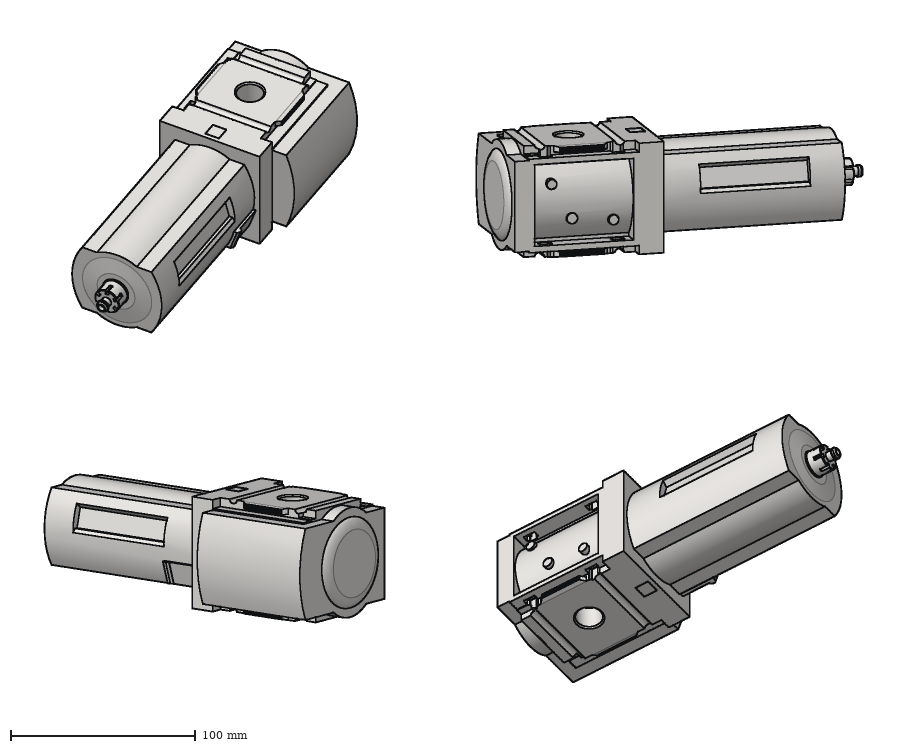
import cadquery as cq
import math


HOUSING_HALF = 31.0
HOUSING_FRONT_Y = -45.0
FRAME_HALF_LENGTH = 31.0
CORE_HALF_WIDTH = 24.0
RAIL_HALF_HEIGHT = 26.1
BACK_Y = 39.1
COVER_HALF_HEIGHT = 25.3
COVER_EDGE_X = 39.8
COVER_OUTER_X = 44.8
BULGE_HALF_WIDTH = 14.6
BULGE_TOP_Z = 30.4

CAP_RADIUS = 25.2
CAP_FLAT_RADIUS = 18.8
CAP_BACK_Y = 42.0
CAP_ARC_MID = (22.6, 41.0)

GROOVE_NEAR_Y = 19.8
GROOVE_FAR_Y = 24.8
GROOVE_DEPTH = 2.1
CORNER_POCKET_INNER_X = 20.0
CORNER_POCKET_START_Y = 22.4
CORNER_POCKET_FLOOR_Z = 26.6
PORT_DIAMETER = 15.0
PORT_RIM_DIAMETER = 16.8
PORT_DEPTH = 15.0
LABEL_SIZE = 8.4
LABEL_CENTER_Y = -38.0
LABEL_DEPTH = 0.2

BAR_OUTER_X = 26.8
BAR_ROOT_HALF_LENGTH = 15.2
BAR_TIP_HALF_LENGTH = 12.3
BAR_UNDERSIDE_Z = 27.6
BAR_OUTER_TOP_Z = 30.5
BAR_GROOVE_COUNT = 2
BAR_GROOVE_WIDTH = 0.6
BAR_GROOVE_DEPTH = 0.3

WINDOW_HALF_LENGTH = 28.0
WINDOW_HALF_HEIGHT = 22.7
WINDOW_FLOOR_X = -21.5
DRUM_RADIUS = 29.8
PIN_END_X = -29.9
PINS = [
    (17.9, 10.9, 5.5),
    (6.4, -8.7, 6.0),
    (-17.1, -11.0, 5.5),
]

SLOT_CENTERS_Y = (20.6, -20.5)
SLOT_OUTER_X = -27.3
SLOT_STEP_X = -23.7
SLOT_INNER_X = -22.6
SLOT_LENGTH = 7.2
SLOT_NARROW_LENGTH = 4.4

BOWL_END_Y = -148.4
BOWL_SIDE_X = 27.9
BOWL_FLAT_HALF = 21.5
BOWL_BULGE_RADIUS = 24.8
DISH_RADIUS = 21.5
DISH_FLAT_RADIUS = 11.7
DISH_END_Y = -149.6

SIGHT_START_Y = -66.8
SIGHT_LENGTH = 62.0
SIGHT_MOUTH_TOP_Z = 18.2
SIGHT_SHELF_Z = 2.0
SIGHT_SHELF_OUTER_X = 26.2
SIGHT_SHELF_INNER_X = 24.3
SIGHT_FLOOR_TOP = (21.4, 13.0)

LATCH_BOTTOM_Z = -20.5
LATCH_TOP_Z = -7.9
LATCH_INNER_X = 22.0
LATCH_BOTTOM_X = 24.6
LATCH_TOP_X = 28.8
LATCH_END_Y = -66.6
RIDGE_START_Y = -62.4
RIDGE_OVERHANG = 1.5
RIDGE_BEVEL = 1.2

DRAIN_DIAMETER = 14.95
DRAIN_NECK_DIAMETER = 15.8
DRAIN_NECK_END_Y = -150.3
DRAIN_END_Y = -159.5
DRAIN_BEVEL = 0.4
DRAIN_SLOT_COUNT = 6
DRAIN_SLOT_WIDTH = 1.8
DRAIN_SLOT_ROOT = 5.0
DRAIN_SLOT_START_Y = -154.4
STEM_DIAMETER = 5.5
STEM_COLLAR_DIAMETER = 6.6
STEM_COLLAR_Y = -163.2
STEM_COLLAR_END_Y = -164.7
STEM_TIP_DIAMETER = 5.0
STEM_END_Y = -165.8
STEM_HOLE_DIAMETER = 3.8
STEM_HOLE_DEPTH = 3.0


def box(x0, x1, y0, y1, z0, z1):
    """Axis-aligned box between two opposite corners."""
    size = (x1 - x0, y1 - y0, z1 - z0)
    return cq.Workplane("XY").box(*size, centered=False).translate((x0, y0, z0))


def section(y):
    """Workplane across the bowl axis at y, with local x = X, local y = Z and the normal toward -Y."""
    return cq.Workplane("XZ", origin=(0, y, 0))


def both_faces(shape):
    """A feature of the upper side together with its mirror image below."""
    return shape.union(shape.mirror("XY"))


def housing_blocks():
    front = box(-HOUSING_HALF, HOUSING_HALF, HOUSING_FRONT_Y, -FRAME_HALF_LENGTH, -HOUSING_HALF, HOUSING_HALF)
    core = box(
        -CORE_HALF_WIDTH, CORE_HALF_WIDTH,
        -FRAME_HALF_LENGTH, FRAME_HALF_LENGTH,
        -HOUSING_HALF, HOUSING_HALF,
    )
    rails = box(
        -HOUSING_HALF, HOUSING_HALF,
        -FRAME_HALF_LENGTH, FRAME_HALF_LENGTH,
        -RAIL_HALF_HEIGHT, RAIL_HALF_HEIGHT,
    )
    return front.union(core).union(rails)


def back_plate():
    """Plate behind the frame, bulging upward and downward in the middle."""
    return (
        section(BACK_Y)
        .moveTo(-HOUSING_HALF, -COVER_HALF_HEIGHT)
        .lineTo(-BULGE_HALF_WIDTH, -COVER_HALF_HEIGHT)
        .threePointArc((0, -BULGE_TOP_Z), (BULGE_HALF_WIDTH, -COVER_HALF_HEIGHT))
        .lineTo(HOUSING_HALF, -COVER_HALF_HEIGHT)
        .lineTo(HOUSING_HALF, COVER_HALF_HEIGHT)
        .lineTo(BULGE_HALF_WIDTH, COVER_HALF_HEIGHT)
        .threePointArc((0, BULGE_TOP_Z), (-BULGE_HALF_WIDTH, COVER_HALF_HEIGHT))
        .lineTo(-HOUSING_HALF, COVER_HALF_HEIGHT)
        .close()
        .extrude(BACK_Y - FRAME_HALF_LENGTH)
    )


def side_cover():
    """Cover on the +X side with an outward-curved face."""
    return (
        section(BACK_Y)
        .moveTo(HOUSING_HALF, -COVER_HALF_HEIGHT)
        .lineTo(COVER_EDGE_X, -COVER_HALF_HEIGHT)
        .threePointArc((COVER_OUTER_X, 0), (COVER_EDGE_X, COVER_HALF_HEIGHT))
        .lineTo(HOUSING_HALF, COVER_HALF_HEIGHT)
        .close()
        .extrude(BACK_Y + FRAME_HALF_LENGTH)
    )


def back_cap():
    return (
        cq.Workplane("XY")
        .moveTo(0, BACK_Y)
        .lineTo(CAP_RADIUS, BACK_Y)
        .threePointArc(CAP_ARC_MID, (CAP_FLAT_RADIUS, CAP_BACK_Y))
        .lineTo(0, CAP_BACK_Y)
        .close()
        .revolve(360, (0, 0), (0, 1))
    )


def bars():
    """Grooved trapezoidal bars along both sides of the upper core face, sloping down outward."""
    plan = (
        cq.Workplane("XY")
        .polyline([
            (CORE_HALF_WIDTH, -BAR_ROOT_HALF_LENGTH),
            (BAR_OUTER_X, -BAR_TIP_HALF_LENGTH),
            (BAR_OUTER_X, BAR_TIP_HALF_LENGTH),
            (CORE_HALF_WIDTH, BAR_ROOT_HALF_LENGTH),
        ])
        .close()
        .extrude(HOUSING_HALF)
    )
    bar = (
        section(BAR_ROOT_HALF_LENGTH)
        .polyline([
            (CORE_HALF_WIDTH, BAR_UNDERSIDE_Z),
            (BAR_OUTER_X, BAR_UNDERSIDE_Z),
            (BAR_OUTER_X, BAR_OUTER_TOP_Z),
            (CORE_HALF_WIDTH, HOUSING_HALF),
        ])
        .close()
        .extrude(2 * BAR_ROOT_HALF_LENGTH)
        .intersect(plan)
    )
    for i in range(BAR_GROOVE_COUNT):
        bottom = BAR_UNDERSIDE_Z + (2 * i + 1) * BAR_GROOVE_WIDTH
        groove = box(
            BAR_OUTER_X - BAR_GROOVE_DEPTH, BAR_OUTER_X,
            -BAR_ROOT_HALF_LENGTH, BAR_ROOT_HALF_LENGTH,
            bottom, bottom + BAR_GROOVE_WIDTH,
        )
        bar = bar.cut(groove)
    return bar.union(bar.mirror("YZ"))


def window():
    """Side window, leaving the drum surface standing inside it."""
    opening = box(
        -HOUSING_HALF, WINDOW_FLOOR_X,
        -WINDOW_HALF_LENGTH, WINDOW_HALF_LENGTH,
        -WINDOW_HALF_HEIGHT, WINDOW_HALF_HEIGHT,
    )
    drum = section(WINDOW_HALF_LENGTH).circle(DRUM_RADIUS).extrude(2 * WINDOW_HALF_LENGTH)
    return opening.cut(drum)


def pin(y, z, diameter):
    """Pin pointing toward -X out of the drum."""
    length = WINDOW_FLOOR_X - PIN_END_X
    return cq.Workplane("YZ", origin=(PIN_END_X, y, z)).circle(diameter / 2).extrude(length)


def grooves():
    """Shallow round-bottomed grooves across the core on both sides of the port."""
    groove = (
        cq.Workplane("YZ", origin=(-CORE_HALF_WIDTH, 0, 0))
        .moveTo(GROOVE_NEAR_Y, HOUSING_HALF)
        .threePointArc(
            ((GROOVE_NEAR_Y + GROOVE_FAR_Y) / 2, HOUSING_HALF - GROOVE_DEPTH),
            (GROOVE_FAR_Y, HOUSING_HALF),
        )
        .close()
        .extrude(2 * CORE_HALF_WIDTH)
    )
    return groove.union(groove.mirror("XZ"))


def corner_pockets():
    pocket = box(
        CORNER_POCKET_INNER_X, CORE_HALF_WIDTH,
        CORNER_POCKET_START_Y, FRAME_HALF_LENGTH,
        CORNER_POCKET_FLOOR_Z, HOUSING_HALF,
    )
    return pocket.union(pocket.mirror("YZ"))


def port():
    """Blind port with a countersunk rim."""
    rim = (PORT_RIM_DIAMETER - PORT_DIAMETER) / 2
    return (
        cq.Workplane("XZ")
        .polyline([
            (0, HOUSING_HALF),
            (PORT_RIM_DIAMETER / 2, HOUSING_HALF),
            (PORT_DIAMETER / 2, HOUSING_HALF - rim),
            (PORT_DIAMETER / 2, HOUSING_HALF - PORT_DEPTH),
            (0, HOUSING_HALF - PORT_DEPTH),
        ])
        .close()
        .revolve(360, (0, 0), (0, 1))
    )


def rail_slot(center_y):
    """Slot from the window up through the rail, with a narrower step into the core."""
    half = SLOT_LENGTH / 2
    narrow = SLOT_NARROW_LENGTH / 2
    wide_part = box(
        SLOT_OUTER_X, SLOT_STEP_X,
        center_y - half, center_y + half,
        WINDOW_HALF_HEIGHT, HOUSING_HALF,
    )
    step = box(
        SLOT_STEP_X, SLOT_INNER_X,
        center_y - narrow, center_y + narrow,
        WINDOW_HALF_HEIGHT, HOUSING_HALF,
    )
    return wide_part.union(step)


def label_recess():
    half = LABEL_SIZE / 2
    return box(
        -half, half,
        LABEL_CENTER_Y - half, LABEL_CENTER_Y + half,
        HOUSING_HALF - LABEL_DEPTH, HOUSING_HALF,
    )


def make_housing():
    body = housing_blocks().union(back_plate()).union(side_cover()).union(back_cap())
    body = body.union(both_faces(bars())).cut(window())
    for y, z, diameter in PINS:
        body = body.union(pin(y, z, diameter))
    for feature in (grooves(), corner_pockets(), port(), label_recess()):
        body = body.cut(both_faces(feature))
    for center_y in SLOT_CENTERS_Y:
        body = body.cut(both_faces(rail_slot(center_y)))
    return body


def bowl_shell():
    """Bowl with curved sides, and round bulges in its upper and lower flats."""
    bulge_half = math.sqrt(BOWL_BULGE_RADIUS**2 - BOWL_FLAT_HALF**2)
    flat = BOWL_FLAT_HALF
    return (
        section(HOUSING_FRONT_Y)
        .moveTo(-flat, -flat)
        .lineTo(-bulge_half, -flat)
        .threePointArc((0, -BOWL_BULGE_RADIUS), (bulge_half, -flat))
        .lineTo(flat, -flat)
        .threePointArc((BOWL_SIDE_X, 0), (flat, flat))
        .lineTo(bulge_half, flat)
        .threePointArc((0, BOWL_BULGE_RADIUS), (-bulge_half, flat))
        .lineTo(-flat, flat)
        .threePointArc((-BOWL_SIDE_X, 0), (-flat, -flat))
        .close()
        .extrude(HOUSING_FRONT_Y - BOWL_END_Y)
    )


def bowl_dish():
    """Low cone closing the end of the bowl."""
    return (
        cq.Workplane("XY")
        .polyline([
            (0, BOWL_END_Y),
            (DISH_RADIUS, BOWL_END_Y),
            (DISH_FLAT_RADIUS, DISH_END_Y),
            (0, DISH_END_Y),
        ])
        .close()
        .revolve(360, (0, 0), (0, 1))
    )


def sight_recesses():
    """Long side recesses with a bevel and a shelf below and a sloping top wall."""
    recess = (
        section(SIGHT_START_Y)
        .polyline([
            (BOWL_SIDE_X, 0),
            (SIGHT_SHELF_OUTER_X, SIGHT_SHELF_Z),
            (SIGHT_SHELF_INNER_X, SIGHT_SHELF_Z),
            SIGHT_FLOOR_TOP,
            (BOWL_SIDE_X, SIGHT_MOUTH_TOP_Z),
        ])
        .close()
        .extrude(SIGHT_LENGTH)
    )
    return recess.union(recess.mirror("YZ"))


def latch():
    """Slanted plate along the bowl side, ending in a bevelled finger ridge."""

    def slanted_bar(start_y, overhang):
        return (
            section(start_y)
            .polyline([
                (LATCH_INNER_X, LATCH_BOTTOM_Z),
                (LATCH_BOTTOM_X + overhang, LATCH_BOTTOM_Z),
                (LATCH_TOP_X + overhang, LATCH_TOP_Z),
                (LATCH_INNER_X, LATCH_TOP_Z),
            ])
            .close()
            .extrude(start_y - LATCH_END_Y)
        )

    plate = slanted_bar(HOUSING_FRONT_Y, 0)
    ridge = slanted_bar(RIDGE_START_Y, RIDGE_OVERHANG)
    slope = (LATCH_TOP_X - LATCH_BOTTOM_X, 0, LATCH_TOP_Z - LATCH_BOTTOM_Z)
    outward = cq.Vector(slope[2], 0, -slope[0])
    ridge = ridge.faces(cq.selectors.DirectionMinMaxSelector(outward)).edges("#Y").chamfer(RIDGE_BEVEL)
    return plate.union(ridge)


def drain():
    """Slotted drain screw with a hollow collared stem."""
    radius = DRAIN_DIAMETER / 2
    screw = (
        cq.Workplane("XY")
        .polyline([
            (0, DISH_END_Y),
            (DRAIN_NECK_DIAMETER / 2, DISH_END_Y),
            (DRAIN_NECK_DIAMETER / 2, DRAIN_NECK_END_Y),
            (radius, DRAIN_NECK_END_Y),
            (radius, DRAIN_END_Y + DRAIN_BEVEL),
            (radius - DRAIN_BEVEL, DRAIN_END_Y),
            (STEM_DIAMETER / 2, DRAIN_END_Y),
            (STEM_DIAMETER / 2, STEM_COLLAR_Y),
            (STEM_COLLAR_DIAMETER / 2, STEM_COLLAR_Y),
            (STEM_COLLAR_DIAMETER / 2, STEM_COLLAR_END_Y),
            (STEM_TIP_DIAMETER / 2, STEM_END_Y),
            (0, STEM_END_Y),
        ])
        .close()
        .revolve(360, (0, 0), (0, 1))
    )
    hole = section(STEM_END_Y + STEM_HOLE_DEPTH).circle(STEM_HOLE_DIAMETER / 2).extrude(STEM_HOLE_DEPTH)
    screw = screw.cut(hole)
    half = DRAIN_SLOT_WIDTH / 2
    slot = box(-half, half, DRAIN_END_Y, DRAIN_SLOT_START_Y, DRAIN_SLOT_ROOT, radius)
    for i in range(DRAIN_SLOT_COUNT):
        angle = i * 360 / DRAIN_SLOT_COUNT
        screw = screw.cut(slot.rotate((0, 0, 0), (0, 1, 0), angle))
    return screw


def make_bowl():
    body = bowl_shell().cut(sight_recesses())
    return body.union(bowl_dish()).union(latch()).union(drain())


housing = make_housing()
bowl = make_bowl()
result = cq.Compound.makeCompound([housing.val(), bowl.val()])